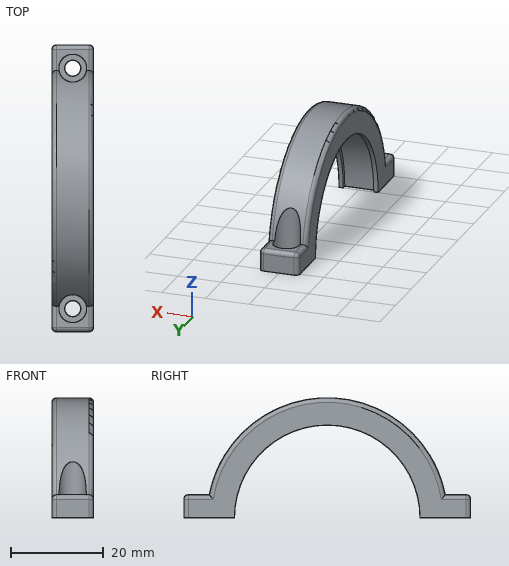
import cadquery as cq

length = 62.0
width = 9.0
outer_radius = 26.0
inner_radius = 20.0
foot_height = 5.0
edge_radius = 1.0

lip_width = 1.0
channel_depth = 1.0

hole_offset = outer_radius
hole_diameter = 3.4
counterbore_diameter = 6.0
counterbore_depth = 3.0


def half_cylinder(radius, depth):
    """Solid half-disc above Z = 0, centred on X = 0 with its axis along X."""
    return (
        cq.Workplane("YZ")
        .moveTo(-radius, 0)
        .threePointArc((0, radius), (radius, 0))
        .close()
        .extrude(depth / 2, both=True)
    )


def vertical_cylinder(y, diameter, bottom, top):
    return (
        cq.Workplane("XY", origin=(0, y, bottom))
        .circle(diameter / 2)
        .extrude(top - bottom)
    )


feet = cq.Workplane("XY").box(width, length, foot_height, centered=(True, True, False))
body = half_cylinder(outer_radius, width).union(feet)
side_edges = body.faces("<X or >X").edges("not <Z")
end_edges = body.faces("<Y or >Y").edges(">Z")
body = body.newObject(side_edges.vals() + end_edges.vals()).fillet(edge_radius)

body = body.cut(half_cylinder(inner_radius, width))
body = body.cut(half_cylinder(inner_radius + channel_depth, width - 2 * lip_width))

for hole_y in (-hole_offset, hole_offset):
    body = body.cut(vertical_cylinder(hole_y, hole_diameter, 0, foot_height))
    seat_height = foot_height - counterbore_depth
    body = body.cut(vertical_cylinder(hole_y, counterbore_diameter, seat_height, outer_radius))

result = body